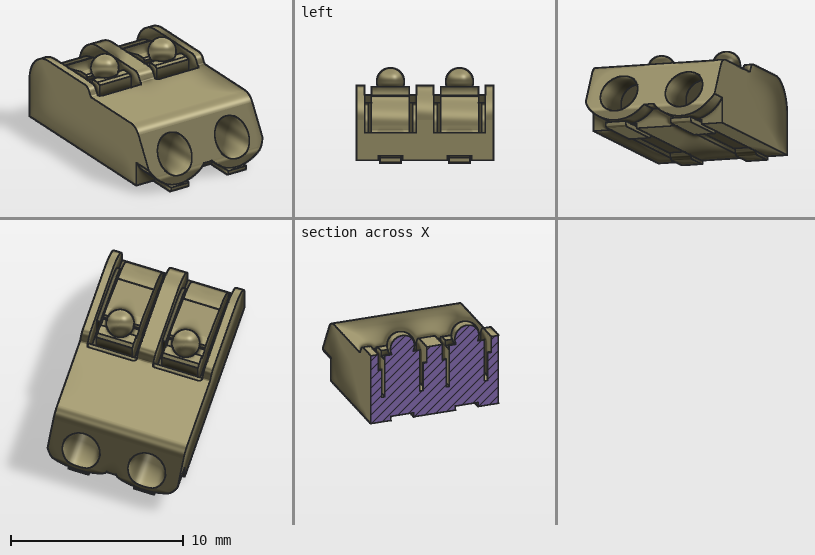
import cadquery as cq
import math


LENGTH = 12.73
WIDTH = 7.94
HEIGHT = 4.35
FRONT_RADIUS = 2.0
REAR_HEIGHT = 3.8
STEP_X = 6.08
STEP_TOP_RADIUS = 0.5
STEP_FOOT_RADIUS = 0.15
NOSE_SLOPE_X = 11.1
NOSE_TOP_RADIUS = 0.9
NOSE_TIP_RADIUS = 0.6
SLOPE_ANGLE = 60.0
SLOPE_RUN = 1 / math.tan(math.radians(SLOPE_ANGLE))

PITCH = 4.0
WAY_CENTRES = (-PITCH / 2, PITCH / 2)
HOLE_DIAMETER = 2.25
HOLE_Z = 1.92
HOLE_DEPTH = 4.0

NOSE_STEP_X = 11.13
NOSE_BOTTOM_Z = 0.26
NOSE_SIDE_Z = 1.48
BELLY_HALF_WIDTH = WIDTH / 2 - PITCH / 2
BELLY_RISE = NOSE_SIDE_Z - NOSE_BOTTOM_Z
BELLY_RADIUS = (BELLY_HALF_WIDTH**2 + BELLY_RISE**2) / (2 * BELLY_RISE)
WEB_WIDTH = 1.0
WEB_BOTTOM_Z = 1.08

POCKET_WIDTH = 3.0
POCKET_FLOOR_Z = 1.6
POCKET_LENGTH = 6.22
SHELF_Z = 3.35
SHELF_END_X = 6.62
SHELF_CORNER_RADIUS = 0.18

ARC_CENTRE_X = 2.0
ARC_CENTRE_Z = 2.02
LEDGE_WIDTH = 0.22
LEDGE_RADIUS = 1.2
LEDGE_END_X = 4.72
LEDGE_END_Z = SHELF_Z

LEVER_WIDTH = 2.2
LEVER_RADIUS = 1.7
LEVER_TOP_Z = 4.27
LEVER_RAMP_START_Z = 3.77
LEVER_CREST_X = 4.07
LEVER_FOOT_RADIUS = 0.18
NOTCH_START_X = 4.72
NOTCH_END_X = 5.26
NOTCH_FLOOR_Z = 3.94
LEVER_END_X = 6.02
CREST_CHAMFER_LENGTH = 0.13
TAIL_CHAMFER_LENGTH = 0.23
CHAMFER_DROP = 0.1

BALL_DIAMETER = 1.62
BALL_X = 4.92
BALL_TOP_Z = 5.37

LEAD_WIDTH = 1.24
LEAD_THICKNESS = 0.3
LEAD_BOTTOM_Z = -0.15
LEAD_OVERHANG = 0.4
LEAD_TIP_RADIUS = 0.15
FRONT_LEAD_END_X = 1.74
REAR_LEAD_START_X = 8.48
LEAD_ROOT_Z = 0.5
LEAD_SLOT_WIDTH = 1.4
LEAD_SLOT_TOP_Z = NOSE_BOTTOM_Z


def box(x_range, y_centre, width, z_range):
    """Box between two X and two Z limits, centred on y_centre."""
    x_min, x_max = x_range
    z_min, z_max = z_range
    corner = (x_min, y_centre - width / 2, z_min)
    return cq.Workplane("XY").box(x_max - x_min, width, z_max - z_min, centered=False).translate(corner)


def side_plane(y_centre, width):
    """XZ sketch plane from which a positive extrusion of the width is centred on y_centre."""
    return cq.Workplane("XZ", origin=(0, y_centre + width / 2, 0))


def round_edge(body, x, z, radius):
    """Round the edge parallel to Y that passes through (x, z)."""
    return body.edges("|Y").edges(cq.selectors.NearestToPointSelector((x, 0, z))).fillet(radius)


def x_cylinder(x_start, length, y, z, radius):
    """Cylinder along X."""
    return cq.Workplane("YZ", origin=(x_start, y, z)).circle(radius).extrude(length)


def housing_block():
    step_foot_x = STEP_X + (HEIGHT - REAR_HEIGHT) * SLOPE_RUN
    slope_end_z = REAR_HEIGHT - (LENGTH - NOSE_SLOPE_X) / SLOPE_RUN
    body = (
        side_plane(0, WIDTH)
        .moveTo(0, 0)
        .lineTo(0, HEIGHT)
        .lineTo(STEP_X, HEIGHT)
        .lineTo(step_foot_x, REAR_HEIGHT)
        .lineTo(NOSE_SLOPE_X, REAR_HEIGHT)
        .lineTo(LENGTH, slope_end_z)
        .lineTo(LENGTH, 0)
        .close()
        .extrude(WIDTH)
    )
    body = round_edge(body, 0, HEIGHT, FRONT_RADIUS)
    body = round_edge(body, STEP_X, HEIGHT, STEP_TOP_RADIUS)
    body = round_edge(body, step_foot_x, REAR_HEIGHT, STEP_FOOT_RADIUS)
    body = round_edge(body, NOSE_SLOPE_X, REAR_HEIGHT, NOSE_TOP_RADIUS)
    return round_edge(body, LENGTH, slope_end_z, NOSE_TIP_RADIUS)


def nose_undercut():
    """Material removed below the nose, leaving the two bellies and the web."""
    nose_x = (NOSE_STEP_X, LENGTH)
    undercut = box(nose_x, 0, WIDTH, (0, NOSE_SIDE_Z))
    for y in WAY_CENTRES:
        belly_z = NOSE_BOTTOM_Z + BELLY_RADIUS
        undercut = undercut.cut(x_cylinder(NOSE_STEP_X, LENGTH - NOSE_STEP_X, y, belly_z, BELLY_RADIUS))
    return undercut.cut(box(nose_x, 0, WEB_WIDTH, (WEB_BOTTOM_Z, NOSE_SIDE_Z)))


def pocket(y):
    well = box((0, POCKET_LENGTH), y, POCKET_WIDTH, (POCKET_FLOOR_Z, HEIGHT))
    above_shelf = box((0, SHELF_END_X), y, POCKET_WIDTH, (SHELF_Z, HEIGHT))
    return well.union(above_shelf.edges("|Z and >X").fillet(SHELF_CORNER_RADIUS))


def front_arc(sketch, radius):
    """Quarter arc about the common centre, from its foremost point up to its top."""
    diagonal = radius * math.sqrt(0.5)
    middle = (ARC_CENTRE_X - diagonal, ARC_CENTRE_Z + diagonal)
    return sketch.threePointArc(middle, (ARC_CENTRE_X, ARC_CENTRE_Z + radius))


def ledge(y):
    front_x = ARC_CENTRE_X - LEDGE_RADIUS
    sketch = side_plane(y, LEDGE_WIDTH).moveTo(front_x, POCKET_FLOOR_Z).lineTo(front_x, ARC_CENTRE_Z)
    return (
        front_arc(sketch, LEDGE_RADIUS)
        .lineTo(LEDGE_END_X, LEDGE_END_Z)
        .lineTo(LEDGE_END_X, POCKET_FLOOR_Z)
        .close()
        .extrude(LEDGE_WIDTH)
    )


def lever(y):
    front_x = ARC_CENTRE_X - LEVER_RADIUS
    foot_inset = LEVER_FOOT_RADIUS * (1 - math.sqrt(0.5))
    sketch = (
        side_plane(y, LEVER_WIDTH)
        .moveTo(front_x - LEVER_FOOT_RADIUS, POCKET_FLOOR_Z)
        .threePointArc(
            (front_x - foot_inset, POCKET_FLOOR_Z + foot_inset),
            (front_x, POCKET_FLOOR_Z + LEVER_FOOT_RADIUS),
        )
        .lineTo(front_x, ARC_CENTRE_Z)
    )
    return (
        front_arc(sketch, LEVER_RADIUS)
        .lineTo(ARC_CENTRE_X, LEVER_RAMP_START_Z)
        .lineTo(LEVER_CREST_X, LEVER_TOP_Z)
        .lineTo(NOTCH_START_X - CREST_CHAMFER_LENGTH, LEVER_TOP_Z)
        .lineTo(NOTCH_START_X, LEVER_TOP_Z - CHAMFER_DROP)
        .lineTo(NOTCH_START_X, NOTCH_FLOOR_Z)
        .lineTo(NOTCH_END_X, NOTCH_FLOOR_Z)
        .lineTo(NOTCH_END_X, LEVER_TOP_Z)
        .lineTo(LEVER_END_X - TAIL_CHAMFER_LENGTH, LEVER_TOP_Z)
        .lineTo(LEVER_END_X, LEVER_TOP_Z - CHAMFER_DROP)
        .lineTo(LEVER_END_X, POCKET_FLOOR_Z)
        .close()
        .extrude(LEVER_WIDTH)
    )


def ball(y):
    radius = BALL_DIAMETER / 2
    return cq.Workplane("XY").sphere(radius).translate((BALL_X, y, BALL_TOP_Z - radius))


def lead(y, tip_x, bend_x):
    """Flat foot from tip_x to bend_x, where it turns up into the housing."""
    inward = math.copysign(1, bend_x - tip_x)
    lead_top_z = LEAD_BOTTOM_Z + LEAD_THICKNESS
    riser_x = bend_x - inward * LEAD_THICKNESS
    body = (
        side_plane(y, LEAD_WIDTH)
        .moveTo(tip_x, LEAD_BOTTOM_Z)
        .lineTo(bend_x, LEAD_BOTTOM_Z)
        .lineTo(bend_x, LEAD_ROOT_Z)
        .lineTo(riser_x, LEAD_ROOT_Z)
        .lineTo(riser_x, lead_top_z)
        .lineTo(tip_x, lead_top_z)
        .close()
        .extrude(LEAD_WIDTH)
    )
    body = round_edge(body, tip_x, LEAD_BOTTOM_Z, LEAD_TIP_RADIUS)
    return round_edge(body, bend_x, LEAD_BOTTOM_Z, LEAD_THICKNESS)


result = housing_block().cut(nose_undercut())
for way_y in WAY_CENTRES:
    result = result.cut(x_cylinder(LENGTH - HOLE_DEPTH, HOLE_DEPTH, way_y, HOLE_Z, HOLE_DIAMETER / 2))
    result = result.cut(pocket(way_y))
    result = result.cut(box((0, NOSE_STEP_X), way_y, LEAD_SLOT_WIDTH, (0, LEAD_SLOT_TOP_Z)))
    for side in (-1, 1):
        result = result.union(ledge(way_y + side * (POCKET_WIDTH - LEDGE_WIDTH) / 2))
    result = result.union(lever(way_y)).union(ball(way_y))
    result = result.union(lead(way_y, -LEAD_OVERHANG, FRONT_LEAD_END_X))
    result = result.union(lead(way_y, LENGTH, REAR_LEAD_START_X))